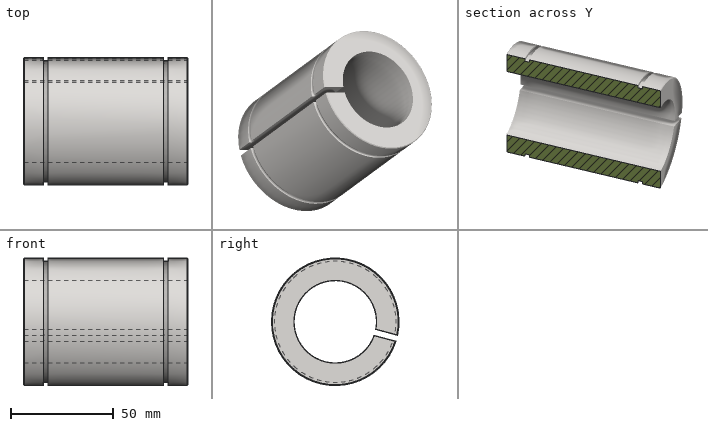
import cadquery as cq

length = 80.0
outer_diameter = 62.0
bore_diameter = 40.0
edge_chamfer = 0.4

groove_diameter = 59.0
groove_width = 2.2
groove_outer_span = 60.6

slit_width = 3.0
slit_angle = 15.0


def cylinder(diameter, width, x_center):
    """Solid cylinder along X, centred at x_center."""
    return cq.Workplane("YZ", origin=(x_center, 0, 0)).circle(diameter / 2).extrude(width / 2, both=True)


def groove_ring(x_center):
    """Ring of material removed by one retaining-ring groove."""
    blank = cylinder(outer_diameter, groove_width, x_center)
    return blank.cut(cylinder(groove_diameter, groove_width, x_center))


def slit():
    """Radial slab from the axis through the wall, along the full length."""
    slab = cq.Workplane("XY").box(length, outer_diameter, slit_width, centered=(True, False, True))
    return slab.rotate((0, 0, 0), (1, 0, 0), -slit_angle)


body = cylinder(outer_diameter, length, 0).edges().chamfer(edge_chamfer)
body = body.cut(cylinder(bore_diameter, length, 0))

groove_offset = (groove_outer_span - groove_width) / 2
for side in (-1, 1):
    body = body.cut(groove_ring(side * groove_offset))

result = body.cut(slit())